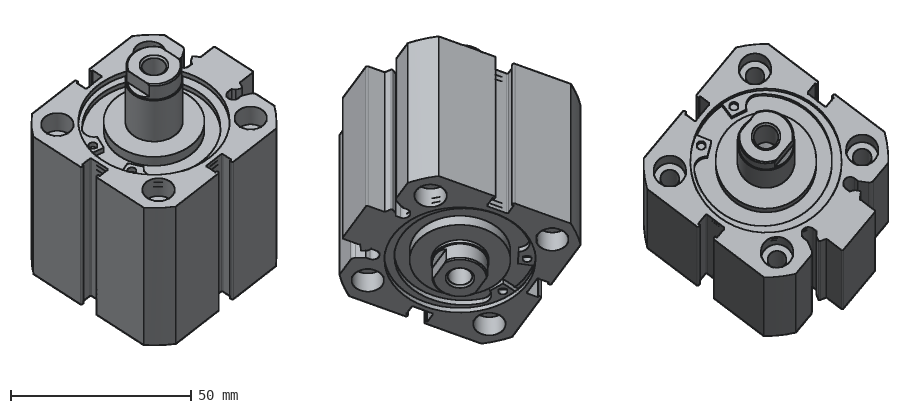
import cadquery as cq
import math

BODY_WIDTH = 54.0
BODY_HEIGHT = 54.0
CORNER_RADIUS = 34.0
HALF_WIDTH = BODY_WIDTH / 2
MID_HEIGHT = BODY_HEIGHT / 2

RAIL_HALF_WIDTH = 7.4
RAIL_TOP_Y = 33.0
RAIL_BASE_Y = 20.0
BARB_TIP_X = 9.4
BARB_TIP_Y = 26.15
BARB_LENGTH = 2.0
BARB_SLOPE = math.radians(30)
BARB_TIP_FILLET = 0.4
RAIL_TOP_FILLET = 0.4

CHANNEL_RADIUS = 1.9
CHANNEL_CENTER_Y = 22.45
MOUTH_START_Y = 23.7
MOUTH_SLOPE = math.radians(60)
MOUTH_FILLET = 1.5

SLOT_WIDTH = 6.6
SLOT_DEPTH = 4.5
SLOT_OPENING = 5.4
LIP_THICKNESS = 0.95
LIP_FILLET = 0.4
SLOT_FLOOR_FILLET = 0.3

HOLE_OFFSET = 19.0
HOLE_DIAMETER = 5.2
COUNTERBORE_DIAMETER = 9.0
COUNTERBORE_DEPTH = 7.0

BORE_RADIUS = 21.0
GROOVE_RADIUS = 22.25
RING_DEPTH = 1.75
RING_THICKNESS = 1.75

RING_INNER_RADIUS = 19.25
RING_INNER_OFFSET = 1.15
EAR_RADIUS = 16.4
EAR_START = math.radians(15.9)
EAR_END = math.radians(32.3)
EAR_RELIEF_RADIUS = 3.4
EAR_RELIEF_ANGLE = math.radians(46.8)
EAR_HOLE_DIAMETER = 2.5
EAR_HOLE_RADIUS = 18.65
EAR_HOLE_ANGLE = math.radians(23.0)

COVER_BOSS_RADIUS = 14.0
COVER_BOSS_HEIGHT = RING_DEPTH + RING_THICKNESS
COVER_FLANGE_THICKNESS = 10.0

ROD_RADIUS = 8.0
ROD_TOP_REACH = 22.0
ROD_BOTTOM_REACH = 7.0
NECK_RADIUS = 7.75
NECK_LENGTH = 5.7
NECK_CHAMFER = 0.4
FLAT_WIDTH = 13.0
FLAT_LENGTH = 4.6
FLAT_RUNOUT_WIDTH = ROD_RADIUS - FLAT_WIDTH / 2
FLAT_RUNOUT_LENGTH = 1.1
THREAD_RADIUS = 3.4
THREAD_MOUTH_RADIUS = 4.0
THREAD_DEPTH = 16.0
DRILL_POINT_ANGLE = math.radians(118)


def polar(radius, angle, center_y=0.0):
    """Point at an angle from -Y, turning toward +X."""
    return (radius * math.sin(angle), center_y - radius * math.cos(angle))


def mirrored(point):
    return (-point[0], point[1])


def other_end(part):
    """Copy of an end part on the opposite end of the housing."""
    return part.mirror("XY", (0, 0, MID_HEIGHT))


def channel_cutter():
    """Clearance on the +X side of the rail, open toward +Y."""
    outer_x = RAIL_HALF_WIDTH + 2 * CHANNEL_RADIUS
    shoulder_x = outer_x + (HALF_WIDTH - MOUTH_START_Y) / math.tan(MOUTH_SLOPE)
    cutter = (
        cq.Workplane("XY")
        .moveTo(RAIL_HALF_WIDTH, HALF_WIDTH)
        .lineTo(RAIL_HALF_WIDTH, CHANNEL_CENTER_Y)
        .radiusArc((outer_x, CHANNEL_CENTER_Y), -CHANNEL_RADIUS)
        .lineTo(outer_x, MOUTH_START_Y)
        .lineTo(shoulder_x, HALF_WIDTH)
        .close()
        .extrude(BODY_HEIGHT)
    )
    return cutter, shoulder_x


def rail():
    """Rail section: a flat-topped bar with one downhooked barb per side."""
    tip = (BARB_TIP_X, BARB_TIP_Y)
    root_y = tip[1] + (tip[0] - RAIL_HALF_WIDTH) * math.tan(BARB_SLOPE)
    heel = (tip[0] - BARB_LENGTH * math.sin(BARB_SLOPE), tip[1] - BARB_LENGTH * math.cos(BARB_SLOPE))
    foot_y = heel[1] - (heel[0] - RAIL_HALF_WIDTH) * math.tan(BARB_SLOPE)
    right_side = [
        (RAIL_HALF_WIDTH, RAIL_TOP_Y),
        (RAIL_HALF_WIDTH, root_y),
        tip,
        heel,
        (RAIL_HALF_WIDTH, foot_y),
        (RAIL_HALF_WIDTH, RAIL_BASE_Y),
    ]
    left_side = [mirrored(point) for point in reversed(right_side)]
    bar = cq.Workplane("XY").polyline(right_side + left_side).close().extrude(BODY_HEIGHT)
    for side in (1, -1):
        tip_edge = cq.NearestToPointSelector((side * tip[0], tip[1], MID_HEIGHT))
        bar = bar.edges("|Z").edges(tip_edge).fillet(BARB_TIP_FILLET)
    return bar.edges("|Z and >Y").fillet(RAIL_TOP_FILLET)


def slot_cutter():
    """Lipped slot through the -Y face."""
    face_y = -HALF_WIDTH
    pocket_depth = SLOT_DEPTH - LIP_THICKNESS
    pocket = (
        cq.Workplane("XY")
        .center(0, face_y + LIP_THICKNESS + pocket_depth / 2)
        .rect(SLOT_WIDTH, pocket_depth)
        .extrude(BODY_HEIGHT)
        .edges("|Z and >Y")
        .fillet(SLOT_FLOOR_FILLET)
    )
    flared_half = SLOT_OPENING / 2 + LIP_FILLET
    throat = (
        cq.Workplane("XY")
        .moveTo(-flared_half, face_y)
        .radiusArc((-SLOT_OPENING / 2, face_y + LIP_FILLET), -LIP_FILLET)
        .lineTo(-SLOT_OPENING / 2, face_y + SLOT_DEPTH / 2)
        .lineTo(SLOT_OPENING / 2, face_y + SLOT_DEPTH / 2)
        .lineTo(SLOT_OPENING / 2, face_y + LIP_FILLET)
        .radiusArc((flared_half, face_y), -LIP_FILLET)
        .close()
        .extrude(BODY_HEIGHT)
    )
    return pocket.union(throat)


def make_housing():
    body = cq.Workplane("XY").rect(BODY_WIDTH, BODY_WIDTH).extrude(BODY_HEIGHT)
    body = body.intersect(cq.Workplane("XY").circle(CORNER_RADIUS).extrude(BODY_HEIGHT))

    channel, shoulder_x = channel_cutter()
    body = body.cut(channel).cut(channel.mirror("YZ"))
    for side in (1, -1):
        shoulder_edge = cq.NearestToPointSelector((side * shoulder_x, HALF_WIDTH, MID_HEIGHT))
        body = body.edges("|Z").edges(shoulder_edge).fillet(MOUTH_FILLET)
    body = body.union(rail())

    slot = slot_cutter()
    for angle in (-90, 0, 90):
        body = body.cut(slot.rotate((0, 0, 0), (0, 0, 1), angle))

    holes = (
        cq.Workplane("XY")
        .rect(2 * HOLE_OFFSET, 2 * HOLE_OFFSET, forConstruction=True)
        .vertices()
    )
    counterbores = holes.circle(COUNTERBORE_DIAMETER / 2).extrude(COUNTERBORE_DEPTH)
    body = body.cut(holes.circle(HOLE_DIAMETER / 2).extrude(BODY_HEIGHT))
    body = body.cut(counterbores).cut(other_end(counterbores))

    groove = (
        cq.Workplane("XY")
        .workplane(offset=RING_DEPTH)
        .circle(GROOVE_RADIUS)
        .extrude(RING_THICKNESS)
    )
    body = body.cut(cq.Workplane("XY").circle(BORE_RADIUS).extrude(BODY_HEIGHT))
    return body.cut(groove).cut(other_end(groove))


def make_ring():
    """Ring in the upper groove."""
    inner_center_y = -RING_INNER_OFFSET
    end_outer = polar(GROOVE_RADIUS, EAR_START)
    ear_front = polar(EAR_RADIUS, EAR_START)
    ear_back = polar(EAR_RADIUS, EAR_END)
    relief_end = polar(RING_INNER_RADIUS, EAR_RELIEF_ANGLE, inner_center_y)
    ring = (
        cq.Workplane("XY")
        .workplane(offset=BODY_HEIGHT - RING_DEPTH - RING_THICKNESS)
        .moveTo(*end_outer)
        .threePointArc((0, GROOVE_RADIUS), mirrored(end_outer))
        .lineTo(*mirrored(ear_front))
        .lineTo(*mirrored(ear_back))
        .radiusArc(mirrored(relief_end), EAR_RELIEF_RADIUS)
        .threePointArc((0, inner_center_y + RING_INNER_RADIUS), relief_end)
        .radiusArc(ear_back, EAR_RELIEF_RADIUS)
        .lineTo(*ear_front)
        .close()
        .extrude(RING_THICKNESS)
    )
    ear_hole = polar(EAR_HOLE_RADIUS, EAR_HOLE_ANGLE)
    ear_holes = (
        cq.Workplane("XY")
        .pushPoints([ear_hole, mirrored(ear_hole)])
        .circle(EAR_HOLE_DIAMETER / 2)
        .extrude(BODY_HEIGHT)
    )
    return ring.cut(ear_holes)


def make_cover():
    """Cover in the upper end: a flange under the ring and a boss flush with the housing."""
    shoulder_z = BODY_HEIGHT - COVER_BOSS_HEIGHT
    flange = (
        cq.Workplane("XY")
        .workplane(offset=shoulder_z - COVER_FLANGE_THICKNESS)
        .circle(BORE_RADIUS)
        .extrude(COVER_FLANGE_THICKNESS)
    )
    boss = (
        cq.Workplane("XY")
        .workplane(offset=shoulder_z)
        .circle(COVER_BOSS_RADIUS)
        .extrude(COVER_BOSS_HEIGHT)
    )
    rod_hole = cq.Workplane("XY").circle(ROD_RADIUS).extrude(BODY_HEIGHT)
    return flange.union(boss).cut(rod_hole)


def flat_cutter():
    """Wrench flat facing +Y below Z = 0, with a sloped runout."""
    flat_y = FLAT_WIDTH / 2
    return (
        cq.Workplane("YZ")
        .moveTo(flat_y, 0)
        .lineTo(flat_y, -FLAT_LENGTH)
        .lineTo(flat_y + FLAT_RUNOUT_WIDTH, -FLAT_LENGTH - FLAT_RUNOUT_LENGTH)
        .lineTo(flat_y + FLAT_RUNOUT_WIDTH, 0)
        .close()
        .extrude(ROD_RADIUS, both=True)
    )


def rod_half(reach):
    """Rod from Z = 0 down to minus the length, with the worked end at Z = 0."""
    length = reach + MID_HEIGHT
    shaft = (
        cq.Workplane("XZ")
        .moveTo(0, 0)
        .lineTo(NECK_RADIUS - NECK_CHAMFER, 0)
        .lineTo(NECK_RADIUS, -NECK_CHAMFER)
        .lineTo(NECK_RADIUS, -NECK_LENGTH)
        .lineTo(ROD_RADIUS, -NECK_LENGTH - (ROD_RADIUS - NECK_RADIUS))
        .lineTo(ROD_RADIUS, -length)
        .lineTo(0, -length)
        .close()
        .revolve(360, (0, 0, 0), (0, 1, 0))
    )
    mouth_depth = THREAD_MOUTH_RADIUS - THREAD_RADIUS
    point_depth = THREAD_RADIUS / math.tan(DRILL_POINT_ANGLE / 2)
    thread_hole = (
        cq.Workplane("XZ")
        .moveTo(0, 0)
        .lineTo(THREAD_MOUTH_RADIUS, 0)
        .lineTo(THREAD_RADIUS, -mouth_depth)
        .lineTo(THREAD_RADIUS, -THREAD_DEPTH)
        .lineTo(0, -THREAD_DEPTH - point_depth)
        .close()
        .revolve(360, (0, 0, 0), (0, 1, 0))
    )
    flat = flat_cutter()
    return shaft.cut(thread_hole).cut(flat).cut(flat.mirror("XZ"))


def make_rod():
    upper = rod_half(ROD_TOP_REACH).translate((0, 0, BODY_HEIGHT + ROD_TOP_REACH))
    lower = rod_half(ROD_BOTTOM_REACH).mirror("XY").translate((0, 0, -ROD_BOTTOM_REACH))
    return upper.union(lower)


housing = make_housing()
rod = make_rod()
top_cover = make_cover()
top_ring = make_ring()
end_parts = []
for end_part in (top_cover, top_ring):
    end_parts.append(end_part.val())
    end_parts.append(other_end(end_part).val())

result = cq.Compound.makeCompound([housing.val(), rod.val(), *end_parts])